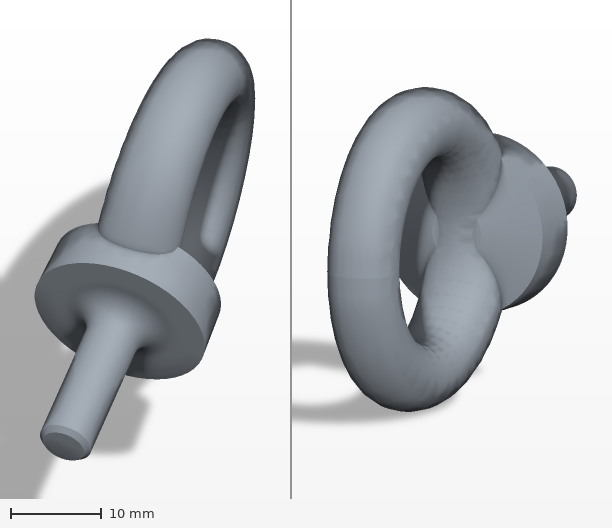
import cadquery as cq
import math

ring_outer_diameter = 35.95
ring_hole_diameter = 20.0
ring_width_far = 8.0
ring_width_near = 9.7
ring_section_count = 7

collar_diameter = 20.0
collar_top_diameter = 19.45
collar_height = 6.0
collar_cone_height = 1.6
collar_cone_top_diameter = 6.0
shank_diameter = 6.0
shank_length = 18.05
shank_chamfer = 0.6
neck_radius = 3.0

ring_outer_radius = ring_outer_diameter / 2
ring_hole_radius = ring_hole_diameter / 2
ring_mean_radius = (ring_outer_radius + ring_hole_radius) / 2
section_height = ring_outer_radius - ring_hole_radius
collar_face_y = -ring_outer_radius
shank_end_y = collar_face_y - shank_length
collar_top_y = collar_face_y + collar_height


def section_width(angle):
    """X width of the ring section; it grows evenly from far end to near end."""
    share = (1 - math.cos(angle)) / 2
    return ring_width_far + share * (ring_width_near - ring_width_far)


def make_half_ring():
    """Upper half of the ring: elliptical sections swept along a half circle."""
    path = cq.Workplane("YZ").moveTo(ring_mean_radius, 0).threePointArc(
        (0, ring_mean_radius), (-ring_mean_radius, 0))
    sections = cq.Workplane("XY")
    for index in range(ring_section_count):
        angle = math.pi * index / (ring_section_count - 1)
        outward = (0, math.cos(angle), math.sin(angle))
        tangent = (0, -math.sin(angle), math.cos(angle))
        centre = tuple(ring_mean_radius * part for part in outward)
        plane = cq.Plane(origin=centre, xDir=outward, normal=tangent)
        ellipse = cq.Workplane(plane).ellipse(section_height / 2, section_width(angle) / 2)
        sections.ctx.pendingWires.extend(ellipse.ctx.pendingWires)
    return sections.sweep(path, multisection=True)


def make_collar_and_shank():
    """Turned collar with a conical back, and a shank with a rounded neck."""
    shank_radius = shank_diameter / 2
    neck_end_y = collar_face_y - neck_radius
    neck_reach = neck_radius * (1 - math.sqrt(0.5))
    return (
        cq.Workplane("XY")
        .moveTo(0, shank_end_y)
        .lineTo(shank_radius - shank_chamfer, shank_end_y)
        .lineTo(shank_radius, shank_end_y + shank_chamfer)
        .lineTo(shank_radius, neck_end_y)
        .threePointArc(
            (shank_radius + neck_reach, collar_face_y - neck_reach),
            (shank_radius + neck_radius, collar_face_y))
        .lineTo(collar_diameter / 2, collar_face_y)
        .lineTo(collar_top_diameter / 2, collar_top_y)
        .lineTo(collar_cone_top_diameter / 2, collar_top_y + collar_cone_height)
        .lineTo(0, collar_top_y + collar_cone_height)
        .close()
        .revolve(360, (0, 0), (0, 1))
    )


ring_hole = cq.Workplane("YZ").circle(ring_hole_radius).extrude(collar_diameter / 2, both=True)

half_ring = make_half_ring()
ring = half_ring.union(half_ring.mirror("XY"))
result = make_collar_and_shank().cut(ring_hole).union(ring)